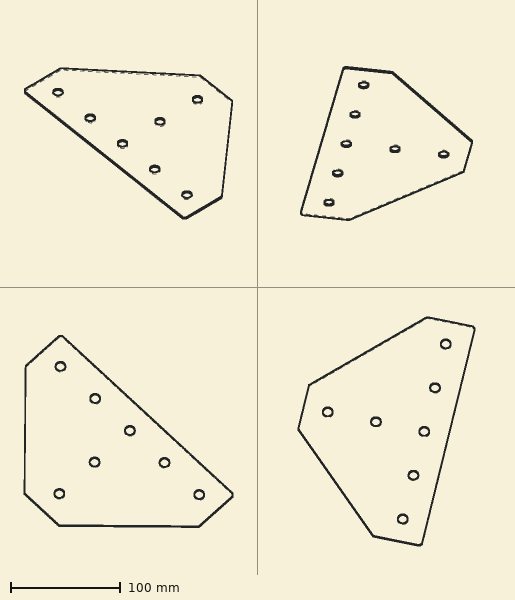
import cadquery as cq

length = 225.0
pitch = length / 5
thickness = 2.0
hole_diameter = 9.0
corner_size = 2.0

half_length = length / 2
half_pitch = pitch / 2
width = 3 * pitch

bottom = -half_pitch
top = bottom + width
shoulder = half_pitch

outline = [
    (-half_length, bottom),
    (half_length, bottom),
    (half_length, shoulder),
    (half_pitch, top),
    (-half_pitch, top),
    (-half_length, shoulder),
]
plate = cq.Workplane("XY").polyline(outline).close().extrude(thickness)

plate = plate.edges("|Z and <Y").chamfer(corner_size)

row_holes = [(step * pitch, 0) for step in range(-2, 3)]
stem_holes = [(0, step * pitch) for step in range(1, 3)]
result = (
    plate.faces(">Z")
    .workplane(origin=(0, 0, thickness))
    .pushPoints(row_holes + stem_holes)
    .hole(hole_diameter)
)